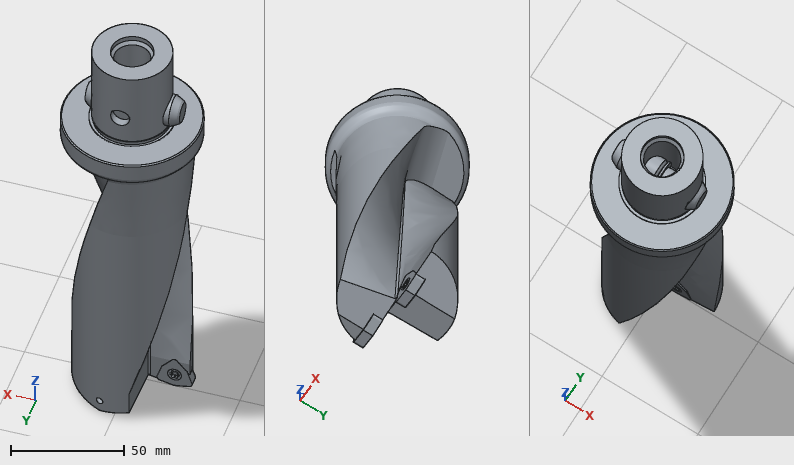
import cadquery as cq
import math

CUT_MARGIN = 2.0
PICK_MARGIN = 0.2
TURN_ABOUT_Z = ((0, 0, 0), (0, 0, 1))

TOTAL_LENGTH = 200.0
FLANGE_TOP = 160.5
FLANGE_RIM_BOTTOM = 150.5
CONE_BOTTOM = 148.5
NECK_TOP = 145.0
NECK_BOTTOM = 111.8

SHANK_RADIUS = 18.0
FLANGE_RADIUS = 31.8
FLANGE_TOP_CHAMFER = 0.5
FLANGE_LOWER_ROUND = 2.8
CONE_BOTTOM_RADIUS = 29.8
NECK_RADIUS = 28.0
COVE_POINT = (28.5, 146.8)
BODY_RADIUS = 26.8

UNDERCUT_TOP = 161.8
UNDERCUT_FLOOR = 159.8
UNDERCUT_INNER_RADIUS = 17.5
UNDERCUT_OUTER_RADIUS = 19.2

BORE_RADIUS = 8.2
BORE_MOUTH_RADIUS = 9.5
BORE_MOUTH_DEPTH = 2.5
BORE_SEAT_DEPTH = 1.5
BORE_FLOOR = 160.0
SIDE_HOLE_RADIUS = 4.5
SIDE_HOLE_HEIGHT = 175.8
SIDE_HOLE_DEPTH = 4.0

PIN_HEIGHT = 169.5
PIN_END_CHAMFER = 0.8
PIN_RADIUS = 7.2
PIN_TIP_RADIUS = 5.5
LEFT_PIN_END = 23.5
LEFT_PIN_CONE_START = 19.2
LEFT_PIN_INNER_END = 1.0
LEFT_PIN_INNER_CHAMFER = 1.2
RIGHT_PIN_END = 20.5
RIGHT_PIN_CONE_START = 16.8
RIGHT_PIN_COLLAR = (-0.5, 0.5)
RIGHT_PIN_NECK_RADIUS = 5.0
RIGHT_PIN_NECK_END = 4.8

FLUTE_BOTTOM = -CUT_MARGIN
INNER_FLAT_TOP = FLUTE_BOTTOM
OUTER_FLAT_TOP = 15.0
INNER_TWIST_ONSET = 18.0
OUTER_TWIST_ONSET = 0.0
FLUTE_CORNER_FLAT = 0.8
RUNOUT_START = 133.0
RUNOUT_TOP = 148.0
RUNOUT_REACH = 20.0
RUNOUT_BULGE = (5.2, 143.5)
FLUTE_SECTIONS = 16
FLUTE_CUT_RADIUS = 44.0
WALL_TWIST = 0.7
INNER_LIP_TWIST = 0.65
OUTER_LIP_TWIST = 0.565
INNER_WALL_ANGLE = -106.9
OUTER_WALL_ANGLE = 105.0
INNER_CORNER = ((-0.8, 0.0), (2.0, 2.0))
OUTER_CORNER = ((-7.5, 0.0), (-7.5, -9.5))

INSERT_THICKNESS = 5.0
INSERT_CORNER_RADIUS = 10.0
INSERT_BEND_RADIUS = 6.8
INSERT_NOSE_ROUND = 1.5
INSERT_HEIGHT = INSERT_BEND_RADIUS
INNER_INSERT_X = 6.8
OUTER_INSERT_X = -19.5
RELIEF_TOP = 9.0
RELIEF_INNER_X = -25.0
SCREW_HEAD_RADIUS = 3.2
SCREW_RADIUS = 1.5
SCREW_HEAD_HEIGHT = 2.5
SCREW_LENGTH = 14.0
SOCKET_RADIUS = 1.5
SOCKET_LOBE_RADIUS = 0.5
SOCKET_LOBES = 6
SOCKET_DEPTH = 1.5

TIP_CLEARANCE = 0.9
TIP_SLOPE = 10.5


def polar(radius, degrees):
    angle = math.radians(degrees)
    return (radius * math.cos(angle), radius * math.sin(angle))


def turned_blank():
    """Shank, flange, tapered neck and straight body as one revolved profile."""
    profile = (
        cq.Workplane("XZ")
        .moveTo(0, 0)
        .lineTo(BODY_RADIUS, 0)
        .lineTo(BODY_RADIUS, NECK_BOTTOM)
        .lineTo(NECK_RADIUS, NECK_TOP)
        .threePointArc(COVE_POINT, (CONE_BOTTOM_RADIUS, CONE_BOTTOM))
        .lineTo(FLANGE_RADIUS, FLANGE_RIM_BOTTOM)
        .lineTo(FLANGE_RADIUS, FLANGE_TOP - FLANGE_TOP_CHAMFER)
        .lineTo(FLANGE_RADIUS - FLANGE_TOP_CHAMFER, FLANGE_TOP)
        .lineTo(UNDERCUT_OUTER_RADIUS, FLANGE_TOP)
        .lineTo(UNDERCUT_OUTER_RADIUS, UNDERCUT_FLOOR)
        .lineTo(UNDERCUT_INNER_RADIUS, UNDERCUT_FLOOR)
        .lineTo(UNDERCUT_INNER_RADIUS, UNDERCUT_TOP)
        .lineTo(SHANK_RADIUS, UNDERCUT_TOP)
        .lineTo(SHANK_RADIUS, TOTAL_LENGTH)
        .lineTo(0, TOTAL_LENGTH)
        .close()
    )
    blank = profile.revolve(360, (0, 0, 0), (0, 1, 0))
    rim_edge = cq.selectors.BoxSelector(
        (-FLANGE_RADIUS, -FLANGE_RADIUS, FLANGE_RIM_BOTTOM - PICK_MARGIN),
        (FLANGE_RADIUS, FLANGE_RADIUS, FLANGE_RIM_BOTTOM + PICK_MARGIN),
    )
    return blank.edges(rim_edge).fillet(FLANGE_LOWER_ROUND)


def shank_bore():
    """Axial bore with a wider mouth that narrows over a conical seat."""
    mouth_floor = TOTAL_LENGTH - BORE_MOUTH_DEPTH
    return (
        cq.Workplane("XZ")
        .moveTo(0, BORE_FLOOR)
        .lineTo(BORE_RADIUS, BORE_FLOOR)
        .lineTo(BORE_RADIUS, mouth_floor - BORE_SEAT_DEPTH)
        .lineTo(BORE_MOUTH_RADIUS, mouth_floor)
        .lineTo(BORE_MOUTH_RADIUS, TOTAL_LENGTH)
        .lineTo(0, TOTAL_LENGTH)
        .close()
        .revolve(360, (0, 0, 0), (0, 1, 0))
    )


def side_hole():
    """Blind hole in the +Y side of the shank."""
    return (
        cq.Workplane("XZ", origin=(0, SHANK_RADIUS + CUT_MARGIN, 0))
        .center(0, SIDE_HOLE_HEIGHT)
        .circle(SIDE_HOLE_RADIUS)
        .extrude(SIDE_HOLE_DEPTH + CUT_MARGIN)
    )


def point_towards(start, target, distance):
    """Point at a distance from the start on the line through the target."""
    dx = target[0] - start[0]
    dy = target[1] - start[1]
    share = distance / math.hypot(dx, dy)
    return (start[0] + dx * share, start[1] + dy * share)


def flute_section(height, corner, lip_angle, wall_angle):
    """Outline of the flute at one height: cutting face, corner flat and wall."""
    lip_target = polar(BODY_RADIUS, lip_angle)
    wall_target = polar(BODY_RADIUS, wall_angle)
    lip = point_towards(corner, lip_target, FLUTE_CUT_RADIUS)
    wall = point_towards(corner, wall_target, FLUTE_CUT_RADIUS)
    outside = (lip[0] + wall[0] - corner[0], lip[1] + wall[1] - corner[1])
    outline = [
        point_towards(corner, lip_target, FLUTE_CORNER_FLAT),
        lip,
        outside,
        wall,
        point_towards(corner, wall_target, FLUTE_CORNER_FLAT),
    ]
    points = [cq.Vector(x, y, height) for x, y in outline]
    return cq.Wire.makePolygon(points, close=True)


def flute_runout(corner, direction):
    """Space below the rounded upper end of a flute; direction points along its wall."""
    return (
        cq.Workplane("YZ")
        .moveTo(-FLUTE_CUT_RADIUS, FLUTE_BOTTOM)
        .lineTo(-FLUTE_CUT_RADIUS, RUNOUT_START)
        .lineTo(0, RUNOUT_START)
        .threePointArc(RUNOUT_BULGE, (RUNOUT_REACH, RUNOUT_TOP))
        .lineTo(2 * FLUTE_CUT_RADIUS, RUNOUT_TOP)
        .lineTo(2 * FLUTE_CUT_RADIUS, FLUTE_BOTTOM)
        .close()
        .extrude(2 * FLUTE_CUT_RADIUS, both=True)
        .rotate(*TURN_ABOUT_Z, direction)
        .translate((corner[0], corner[1], 0))
    )


def flute(corners, flat_top, lip_start, lip_twist, onset, wall_start):
    """Solids of a flute: the twisted part with its run-out and any straight part below it."""
    low, high = corners

    def section(height):
        rise = max(height - flat_top, 0)
        share = rise / (RUNOUT_START - flat_top)
        corner = (low[0] + share * (high[0] - low[0]), low[1] + share * (high[1] - low[1]))
        lip_angle = lip_start + lip_twist * (math.hypot(rise, onset) - onset)
        wall_angle = wall_start + WALL_TWIST * rise
        return flute_section(height, corner, lip_angle, wall_angle)

    span = RUNOUT_TOP - flat_top
    heights = [flat_top + span * (i / FLUTE_SECTIONS) ** 2 for i in range(FLUTE_SECTIONS + 1)]
    twisted = cq.Workplane(obj=cq.Solid.makeLoft([section(z) for z in heights]))

    wall_end = polar(BODY_RADIUS, wall_start + WALL_TWIST * (RUNOUT_START - flat_top))
    wall_direction = math.degrees(math.atan2(wall_end[1] - high[1], wall_end[0] - high[0]))
    parts = [twisted.intersect(flute_runout(high, wall_direction))]
    if flat_top > FLUTE_BOTTOM:
        parts.append(cq.Solid.makeLoft([section(FLUTE_BOTTOM), section(flat_top)], True))
    return parts


def tip_waste(peak_x, side):
    """Material below the roof-shaped end face on one side (+1 or -1) of the XZ plane."""
    run = 2 * BODY_RADIUS
    rise = run * math.tan(math.radians(TIP_SLOPE))
    return (
        cq.Workplane("XZ")
        .polyline([
            (peak_x - run, TIP_CLEARANCE + rise),
            (peak_x, TIP_CLEARANCE),
            (peak_x + run, TIP_CLEARANCE + rise),
            (peak_x + run, -CUT_MARGIN),
            (peak_x - run, -CUT_MARGIN),
        ])
        .close()
        .extrude(-side * run)
    )


def insert_outline():
    """Three rounded corners with a shallow bend between each pair."""
    points = []
    for i in range(3):
        points.append(polar(INSERT_CORNER_RADIUS, 90 + 120 * i))
        points.append(polar(INSERT_BEND_RADIUS, 150 + 120 * i))
    return points


def insert_blank():
    """Solid insert with its face on the XZ plane, facing -Y, centred on its screw."""
    blank = cq.Workplane("XZ").polyline(insert_outline()).close().extrude(-INSERT_THICKNESS)
    corner_edges = blank.edges("|Y").filter(
        lambda edge: math.hypot(edge.Center().x, edge.Center().z) > INSERT_BEND_RADIUS + PICK_MARGIN
    )
    return corner_edges.fillet(INSERT_NOSE_ROUND)


def screw_blank():
    """Countersunk screw without its socket, its head flush with the XZ plane."""
    return (
        cq.Workplane("XY")
        .polyline([
            (0, 0),
            (SCREW_HEAD_RADIUS, 0),
            (SCREW_RADIUS, SCREW_HEAD_HEIGHT),
            (SCREW_RADIUS, SCREW_LENGTH),
            (0, SCREW_LENGTH),
        ])
        .close()
        .revolve(360, (0, 0, 0), (0, 1, 0))
    )


def screw_socket():
    """Six-lobed driver recess."""
    return (
        cq.Workplane("XZ")
        .circle(SOCKET_RADIUS)
        .extrude(-SOCKET_DEPTH)
        .union(
            cq.Workplane("XZ")
            .polarArray(SOCKET_RADIUS, 0, 360, SOCKET_LOBES)
            .circle(SOCKET_LOBE_RADIUS)
            .extrude(-SOCKET_DEPTH)
        )
    )


def screw_hole():
    """Hole that carries the screw and runs out through the back of the body."""
    return cq.Workplane("XZ").circle(SCREW_RADIUS).extrude(-2 * BODY_RADIUS)


def at_inner_seat(shape):
    return shape.translate((INNER_INSERT_X, 0, INSERT_HEIGHT))


def at_outer_seat(shape):
    """The outer insert faces +Y, half a turn from the inner one."""
    return shape.rotate(*TURN_ABOUT_Z, 180).translate((OUTER_INSERT_X, 0, INSERT_HEIGHT))


def corner_relief():
    """Clearance beside the outer corner of the outer insert."""
    return cq.Workplane("XY").box(
        FLUTE_CUT_RADIUS, INSERT_THICKNESS, RELIEF_TOP, centered=False
    ).translate((RELIEF_INNER_X - FLUTE_CUT_RADIUS, -INSERT_THICKNESS, 0))


def cross_pin(inner_profile, cone_start, end):
    """Pin along +X with a conical outer end; the inner profile runs from axis to pin radius."""
    profile = inner_profile + [
        (cone_start, PIN_RADIUS),
        (end - PIN_END_CHAMFER, PIN_TIP_RADIUS),
        (end, PIN_TIP_RADIUS - PIN_END_CHAMFER),
        (end, 0),
    ]
    pin = cq.Workplane("XZ").polyline(profile).close().revolve(360, (0, 0, 0), (1, 0, 0))
    return pin.translate((0, 0, PIN_HEIGHT))


def make_left_pin():
    """Pin on the -X side, chamfered at its inner end."""
    inner_profile = [
        (LEFT_PIN_INNER_END, 0),
        (LEFT_PIN_INNER_END, PIN_RADIUS - LEFT_PIN_INNER_CHAMFER),
        (LEFT_PIN_INNER_END + LEFT_PIN_INNER_CHAMFER, PIN_RADIUS),
    ]
    pin = cross_pin(inner_profile, LEFT_PIN_CONE_START, LEFT_PIN_END)
    return pin.rotate(*TURN_ABOUT_Z, 180)


def make_right_pin():
    """Pin on the +X side, with a collar and a neck inside the bore."""
    collar_start, collar_end = RIGHT_PIN_COLLAR
    inner_profile = [
        (collar_start, 0),
        (collar_start, PIN_RADIUS),
        (collar_end, PIN_RADIUS),
        (collar_end, RIGHT_PIN_NECK_RADIUS),
        (RIGHT_PIN_NECK_END, RIGHT_PIN_NECK_RADIUS),
        (RIGHT_PIN_NECK_END, PIN_RADIUS),
    ]
    return cross_pin(inner_profile, RIGHT_PIN_CONE_START, RIGHT_PIN_END)


left_pin = make_left_pin()
right_pin = make_right_pin()

loose_insert = insert_blank().cut(screw_blank())
loose_screw = screw_blank().cut(screw_socket())
inserts = []
screws = []
for seat in (at_inner_seat, at_outer_seat):
    inserts.append(seat(loose_insert))
    screws.append(seat(loose_screw))

inner_flute = flute(
    INNER_CORNER, INNER_FLAT_TOP, 0, INNER_LIP_TWIST, INNER_TWIST_ONSET, INNER_WALL_ANGLE
)
outer_flute = flute(
    OUTER_CORNER, OUTER_FLAT_TOP, 180, OUTER_LIP_TWIST, OUTER_TWIST_ONSET, OUTER_WALL_ANGLE
)
body = turned_blank()
for cutter in (*inner_flute, *outer_flute):
    body = body.cut(cutter)
body = body.cut(tip_waste(INNER_INSERT_X, 1)).cut(tip_waste(OUTER_INSERT_X, -1))
for seat in (at_inner_seat, at_outer_seat):
    body = body.cut(seat(insert_blank())).cut(seat(screw_hole()))
body = body.cut(corner_relief())
body = body.cut(shank_bore()).cut(side_hole()).cut(left_pin).cut(right_pin)

result = cq.Compound.makeCompound([
    *body.solids().vals(),
    *left_pin.solids().vals(),
    *right_pin.solids().vals(),
    *[insert.solids().val() for insert in inserts],
    *[screw.solids().val() for screw in screws],
])